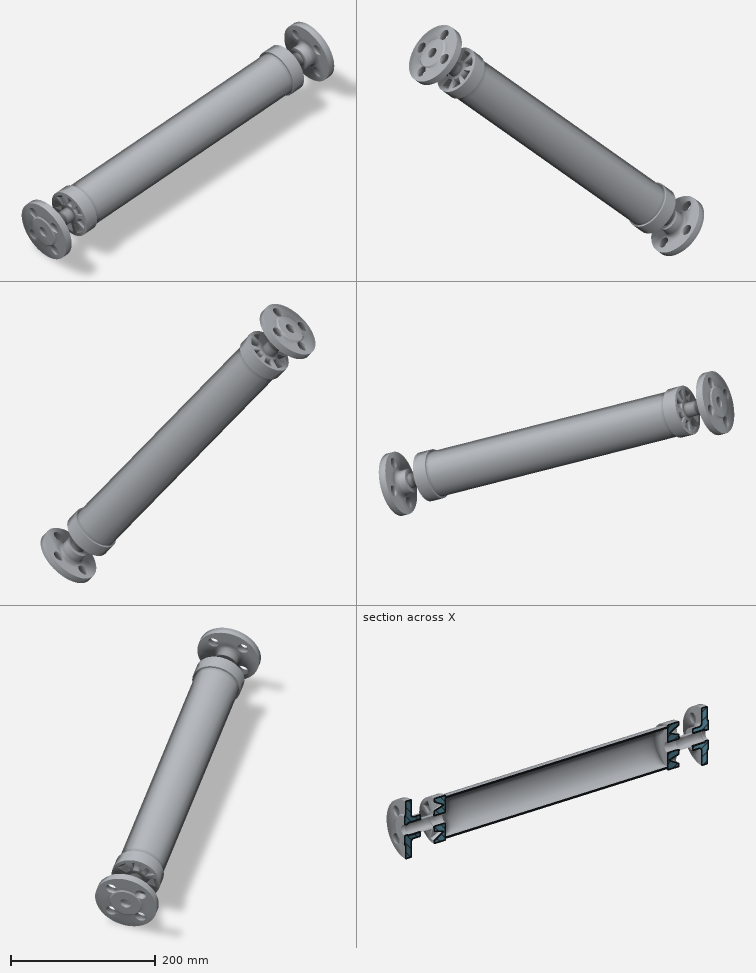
import cadquery as cq
import math

TOTAL_LENGTH = 520.5

FLANGE_DIAMETER = 89.0
FLANGE_THICKNESS = 10.5
RAISED_FACE_HEIGHT = 1.5
RAISED_FACE_BASE_DIAMETER = 47.0
RAISED_FACE_TOP_DIAMETER = 42.5
HUB_DIAMETER = 34.0
HUB_LENGTH = 15.5
HUB_FILLET = 4.0
BOLT_HOLE_COUNT = 4
BOLT_HOLE_DIAMETER = 15.5
BOLT_CIRCLE_DIAMETER = 60.0
FIRST_BOLT_ANGLE = 45

PIPE_DIAMETER = 21.0
PIPE_INNER_DIAMETER = 18.0
PIPE_LENGTH = 44.0
EXPOSED_PIPE_LENGTH = 23.0

CAP_DIAMETER = 70.0
CAP_LENGTH = 20.0
BORE_DIAMETER = 15.5
POCKET_COUNT = 8
POCKET_OUTER_DIAMETER = 60.0
POCKET_INNER_DIAMETER = 31.0
POCKET_OUTER_SLOPE = 30
POCKET_INNER_SLOPE = 17
POCKET_SPAN = 30

TUBE_DIAMETER = 64.0
TUBE_INNER_DIAMETER = 60.5

Y_AXIS = ((0, 0, 0), (0, 1, 0))

END_FACE = TOTAL_LENGTH / 2
FLANGE_FRONT = END_FACE - RAISED_FACE_HEIGHT
FLANGE_BACK = FLANGE_FRONT - FLANGE_THICKNESS
HUB_END = FLANGE_BACK - HUB_LENGTH
CAP_FRONT = HUB_END - EXPOSED_PIPE_LENGTH
CAP_BACK = CAP_FRONT - CAP_LENGTH
PIPE_END = CAP_FRONT + PIPE_LENGTH


def cylinder(diameter, y_start, y_end):
    """Solid cylinder on the Y axis between two stations."""
    return cq.Workplane("XZ", origin=(0, y_end, 0)).circle(diameter / 2).extrude(y_end - y_start)


def revolved(profile, angle=360):
    """Solid turned about the Y axis from (radius, y) points, through an angle in degrees."""
    return cq.Workplane("XY").polyline(profile).close().revolve(angle, *Y_AXIS)


def make_tube():
    """Hollow chamber tube between the two end caps."""
    return cylinder(TUBE_DIAMETER, -CAP_BACK, CAP_BACK).cut(
        cylinder(TUBE_INNER_DIAMETER, -CAP_BACK, CAP_BACK)
    )


def cap_pockets():
    """Ring of V-section pockets, leaving radial ribs between them."""
    outer_radius = POCKET_OUTER_DIAMETER / 2
    inner_radius = POCKET_INNER_DIAMETER / 2
    outer_rate = math.tan(math.radians(POCKET_OUTER_SLOPE))
    inner_rate = math.tan(math.radians(POCKET_INNER_SLOPE))
    depth = (outer_radius - inner_radius) / (outer_rate + inner_rate)
    bottom = (inner_radius + depth * inner_rate, CAP_FRONT - depth)
    profile = [(inner_radius, CAP_FRONT), (outer_radius, CAP_FRONT), bottom]
    pocket = revolved(profile, POCKET_SPAN).rotate(*Y_AXIS, -POCKET_SPAN / 2)
    return [pocket.rotate(*Y_AXIS, i * 360 / POCKET_COUNT) for i in range(POCKET_COUNT)]


def make_cap():
    """End cap butted against the tube end."""
    cap = cylinder(CAP_DIAMETER, CAP_BACK, CAP_FRONT)
    cap = cap.cut(cylinder(BORE_DIAMETER, CAP_BACK, CAP_FRONT))
    for pocket in cap_pockets():
        cap = cap.cut(pocket)
    return cap


def make_pipe():
    """Nozzle pipe from the cap face into the flange socket."""
    pipe = cylinder(PIPE_DIAMETER, CAP_FRONT, PIPE_END)
    return pipe.cut(cylinder(PIPE_INNER_DIAMETER, CAP_FRONT, PIPE_END))


def bolt_holes():
    """Cutters through the flange and the rim of its raised face."""
    return (
        cq.Workplane("XZ", origin=(0, END_FACE, 0))
        .polarArray(BOLT_CIRCLE_DIAMETER / 2, FIRST_BOLT_ANGLE, 360, BOLT_HOLE_COUNT)
        .circle(BOLT_HOLE_DIAMETER / 2)
        .extrude(END_FACE - FLANGE_BACK)
    )


def make_flange():
    """Bolted flange with a raised face and a socket hub for the pipe."""
    raised_face = revolved(
        [
            (0, FLANGE_FRONT),
            (RAISED_FACE_BASE_DIAMETER / 2, FLANGE_FRONT),
            (RAISED_FACE_TOP_DIAMETER / 2, END_FACE),
            (0, END_FACE),
        ]
    )
    flange = cylinder(FLANGE_DIAMETER, FLANGE_BACK, FLANGE_FRONT)
    flange = flange.union(cylinder(HUB_DIAMETER, HUB_END, FLANGE_BACK))
    flange = flange.edges(cq.selectors.RadiusNthSelector(0)).edges(">Y").fillet(HUB_FILLET)
    flange = flange.union(raised_face)
    flange = flange.cut(cylinder(PIPE_DIAMETER, HUB_END, PIPE_END))
    flange = flange.cut(cylinder(BORE_DIAMETER, PIPE_END, END_FACE))
    return flange.cut(bolt_holes())


bodies = [make_tube().val()]
for make_end_body in (make_cap, make_pipe, make_flange):
    body = make_end_body()
    bodies.append(body.val())
    bodies.append(body.mirror("XZ").val())

result = cq.Compound.makeCompound(bodies)